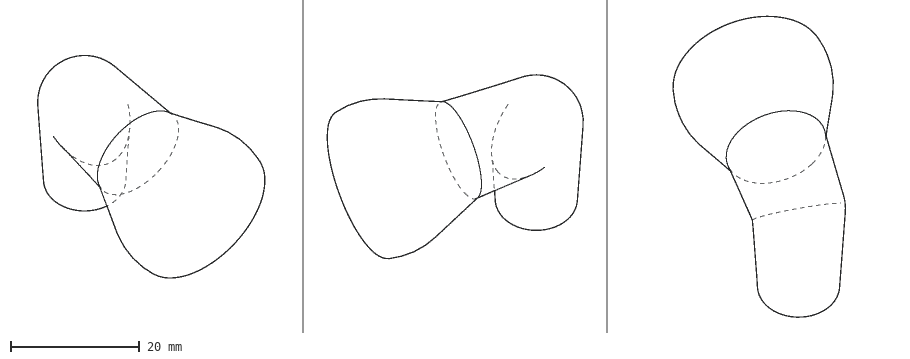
import cadquery as cq
import math

overall_length = 37.9
elbow_radius = 7.3

arm_start_x = -0.45
shoulder_x = 13.5
shoulder_radius = 8.0
head_start_x = 22.45
head_center_x = 27.05
head_radius = 12.47
face_x = overall_length - elbow_radius
face_edge_fillet = 1.0

leg_top_z = -0.75
leg_bottom_z = -18.4
leg_bottom_radius = 6.35
leg_edge_fillet = 0.75


def sphere_section_radius(sphere_radius, offset):
    """Radius of the circle cut from a sphere at an offset from its center."""
    return math.sqrt(sphere_radius**2 - offset**2)


def make_arm():
    arm_start_radius = sphere_section_radius(elbow_radius, arm_start_x)
    head_start_radius = sphere_section_radius(head_radius, head_start_x - head_center_x)
    face_radius = sphere_section_radius(head_radius, face_x - head_center_x)
    arm = (
        cq.Workplane("XZ")
        .moveTo(arm_start_x, 0)
        .lineTo(arm_start_x, arm_start_radius)
        .lineTo(shoulder_x, shoulder_radius)
        .lineTo(head_start_x, head_start_radius)
        .threePointArc((head_center_x, head_radius), (face_x, face_radius))
        .lineTo(face_x, 0)
        .close()
        .revolve(360, (0, 0, 0), (1, 0, 0))
    )
    return arm.faces(">X").edges().fillet(face_edge_fillet)


def make_leg():
    leg_top_radius = sphere_section_radius(elbow_radius, leg_top_z)
    leg = (
        cq.Workplane("XZ")
        .moveTo(0, leg_bottom_z)
        .lineTo(leg_bottom_radius, leg_bottom_z)
        .lineTo(leg_top_radius, leg_top_z)
        .lineTo(0, leg_top_z)
        .close()
        .revolve(360, (0, 0, 0), (0, 1, 0))
    )
    return leg.faces("<Z").edges().fillet(leg_edge_fillet)


elbow = cq.Workplane("XY").sphere(elbow_radius)
result = make_arm().union(make_leg()).union(elbow)